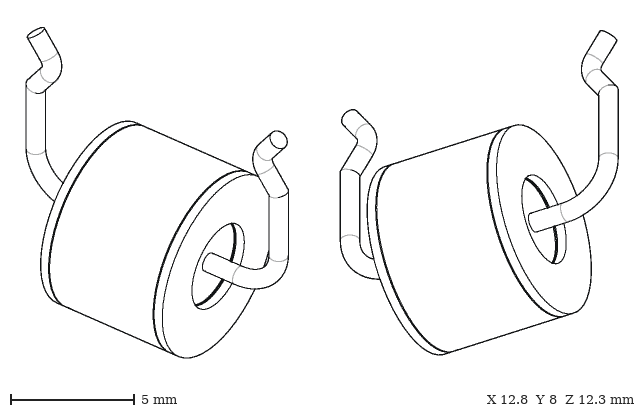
import cadquery as cq
import math

body_dia = 8.0
body_length = 6.0
washer_thickness = 0.4
washer_hole_dia = 3.75
washer_gap = 0.05
core_recess_depth = 0.05

wire_dia = 0.8
lead_half_span = 5.985
elbow_radius = 2.0
crimp_angle = 35.0
crimp_radius = 0.8
lead_top = 8.33

washer_inner_x = body_length / 2 - washer_thickness
core_end = washer_inner_x - washer_gap
recess_floor = core_end - core_recess_depth
wire_radius = wire_dia / 2

lean = math.radians(crimp_angle)
crimp_half_height = crimp_radius / math.sin(lean)
crimp_center_z = lead_top - wire_radius * math.sin(lean) - crimp_half_height
kink_z = crimp_center_z - crimp_half_height
tip_z = crimp_center_z + crimp_half_height
arc_end_x = lead_half_span - crimp_radius * math.cos(lean)
arc_end_rise = crimp_radius * math.sin(lean)


def make_washer(start_x):
    """Flat ring on the core axis, extending in +X from start_x."""
    return (
        cq.Workplane("YZ", origin=(start_x, 0, 0))
        .circle(body_dia / 2)
        .circle(washer_hole_dia / 2)
        .extrude(washer_thickness)
    )


def make_lead():
    """Wire from the core's +X recess floor, with its elbow, mitred kink and crimp."""
    elbow_start_x = lead_half_span - elbow_radius
    elbow_mid = (
        elbow_start_x + elbow_radius * math.sin(math.pi / 4),
        elbow_radius * (1 - math.cos(math.pi / 4)),
    )
    path = (
        cq.Workplane("XZ")
        .moveTo(recess_floor, 0)
        .lineTo(elbow_start_x, 0)
        .threePointArc(elbow_mid, (lead_half_span, elbow_radius))
        .lineTo(lead_half_span, kink_z)
        .lineTo(arc_end_x, crimp_center_z - arc_end_rise)
        .threePointArc(
            (lead_half_span - crimp_radius, crimp_center_z),
            (arc_end_x, crimp_center_z + arc_end_rise),
        )
        .lineTo(lead_half_span, tip_z)
    )
    return (
        cq.Workplane("YZ", origin=(recess_floor, 0, 0))
        .circle(wire_radius)
        .sweep(path, transition="right")
    )


def make_core():
    """Core cylinder, recessed at both ends, with a lead on each recess floor, as one solid."""
    full_cylinder = (
        cq.Workplane("YZ", origin=(-core_end, 0, 0))
        .circle(body_dia / 2)
        .extrude(2 * core_end)
    )
    recess = (
        cq.Workplane("YZ", origin=(recess_floor, 0, 0))
        .circle(washer_hole_dia / 2)
        .extrude(core_recess_depth)
    )
    core_body = full_cylinder.cut(recess).cut(recess.mirror("YZ"))
    lead = make_lead()
    return core_body.union(lead).union(lead.mirror("YZ"))


core = make_core()
washers = [make_washer(start_x) for start_x in (-body_length / 2, washer_inner_x)]

result = cq.Compound.makeCompound([core.val(), *[washer.val() for washer in washers]])